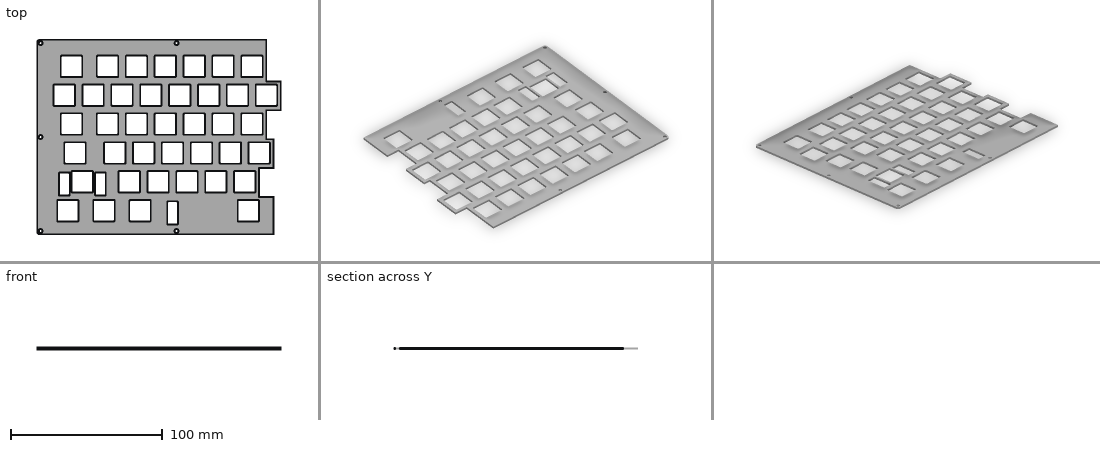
import cadquery as cq

length = 160.8
width = 128.5
thickness = 1.5
corner_radius = 2.0

left_margin = 8.4
front_margin = 6.1
step_drop = 0.5
widest_row = 8
pitch = (length - left_margin) / widest_row

switch_size = 14.0
opening_radius = 0.5
stabilizer_width = 6.9
stabilizer_height = 15.1
stabilizer_drop = 1.5
shift_stabilizer_offset = 11.9
space_stabilizer_offset = 50.0

hole_diameter = 2.4
hole_inset = 2.3
hole_column_spacing = 89.7

left = -length / 2
front = -width / 2
back = width / 2
grid_left = left + left_margin
grid_front = front + front_margin

single = 4
modifier_width = 5
shift_width = 9
caps_width = 7
tab_width = 6
space_width = 25
key_rows = [
    3 * [modifier_width] + [space_width],
    [shift_width] + 5 * [single],
    [caps_width] + 6 * [single],
    [tab_width] + 6 * [single],
    widest_row * [single],
    [tab_width] + 6 * [single],
]
space_row = 0
shift_row = 1
caps_row = 2

row_ends = [sum(widths) for widths in key_rows]
row_ends[space_row] = row_ends[caps_row]


def column_x(quarters):
    """X at a distance from the grid's left edge given in quarter pitches."""
    return grid_left + quarters * pitch / single


def key_x(row, index):
    """X of the centre of one key."""
    widths = key_rows[row]
    return column_x(sum(widths[:index]) + widths[index] / 2)


def row_y(row):
    """Y of the centre line of one row."""
    return grid_front + (row + 0.5) * pitch


def plate():
    """Plate whose right edge steps to the end of every key row."""
    outline = [(left, back), (left, front)]
    y = front
    for row, end in enumerate(row_ends):
        outline.append((column_x(end), y))
        if row < len(row_ends) - 1:
            y = grid_front + (row + 1) * pitch - step_drop
        else:
            y = back
        outline.append((column_x(end), y))
    base = cq.Workplane("XY").workplane(offset=-thickness / 2)
    body = base.polyline(outline).close().extrude(thickness)
    return body.edges("|Z and <X").fillet(corner_radius)


def openings(centers, size_x, size_y):
    """Rectangular through-cutters with rounded corners."""
    cutters = cq.Workplane("XY").pushPoints(centers).rect(size_x, size_y).extrude(thickness, both=True)
    return cutters.edges("|Z").fillet(opening_radius)


switch_centers = [
    (key_x(row, index), row_y(row))
    for row, widths in enumerate(key_rows)
    for index in range(len(widths))
]

shift_x = key_x(shift_row, 0)
space_x = key_x(space_row, -1)
shift_y = row_y(shift_row) - stabilizer_drop
space_y = row_y(space_row) - stabilizer_drop
stabilizer_centers = [
    (shift_x - shift_stabilizer_offset, shift_y),
    (shift_x + shift_stabilizer_offset, shift_y),
    (space_x - space_stabilizer_offset, space_y),
]

hole_x = left + hole_inset
hole_y = back - hole_inset
inner_hole_x = hole_x + hole_column_spacing
hole_centers = [
    (hole_x, -hole_y),
    (hole_x, 0),
    (hole_x, hole_y),
    (inner_hole_x, -hole_y),
    (inner_hole_x, hole_y),
]
holes = cq.Workplane("XY").pushPoints(hole_centers).circle(hole_diameter / 2).extrude(thickness, both=True)

result = (
    plate()
    .cut(openings(switch_centers, switch_size, switch_size))
    .cut(openings(stabilizer_centers, stabilizer_width, stabilizer_height))
    .cut(holes)
)